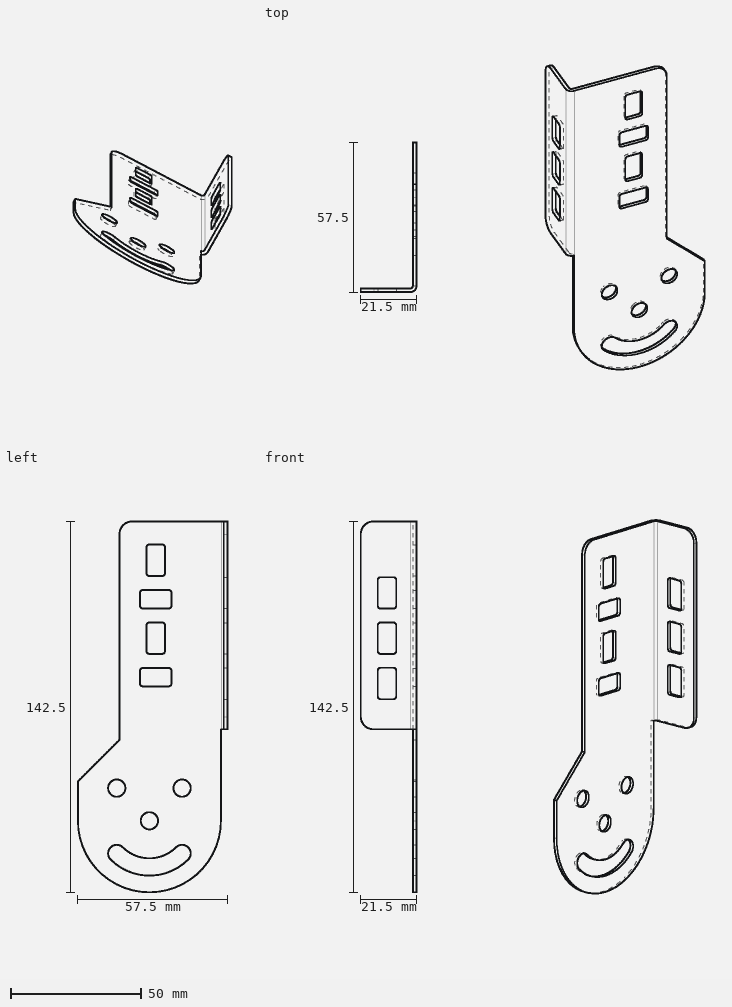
import cadquery as cq
import math

thickness = 1.5
inner_bend_radius = 1.0
outer_bend_radius = inner_bend_radius + thickness

total_height = 142.5
flange_width = 21.5
flange_height = 80.0
corner_radius = 5.0

disc_radius = 27.5
arm_width = 39.0
shoulder_depth = 84.0
plate_front = outer_bend_radius
plate_back = plate_front + 2 * disc_radius
arm_back = plate_front + arm_width
shoulder_top = total_height - shoulder_depth
shoulder_bottom = shoulder_top - (plate_back - arm_back)
disc_y = plate_front + disc_radius
disc_z = disc_radius

window_length = 12.0
window_width = 7.0
window_corner_radius = 1.0
plate_window_edge_offset = 25.1
plate_window_y = plate_front + plate_window_edge_offset
plate_window_top_offset = 15.0
plate_window_pitch = 15.0
plate_window_count = 4
flange_window_x = 10.1
flange_window_middle_offset = 44.9
flange_window_pitch = 17.4

hole_diameter = 6.5
hole_offset = 12.5
slot_radius = hole_offset * math.sqrt(2)


def make_plate():
    """Flat plate in the YZ plane, its outer face at X = flange_width."""
    outline = (
        cq.Workplane("YZ", origin=(flange_width - thickness, 0, 0))
        .moveTo(plate_front, total_height)
        .lineTo(arm_back - corner_radius, total_height)
        .radiusArc((arm_back, total_height - corner_radius), corner_radius)
        .lineTo(arm_back, shoulder_top)
        .lineTo(plate_back, shoulder_bottom)
        .lineTo(plate_back, disc_z)
        .threePointArc((disc_y, 0), (plate_front, disc_z))
        .close()
    )
    return outline.extrude(thickness)


def make_bent_flange():
    """Flange in the XZ plane with the bend that joins it to the plate."""
    bend_x = flange_width - outer_bend_radius
    profile = (
        cq.Workplane("XY", origin=(0, 0, total_height - flange_height))
        .lineTo(bend_x, 0)
        .radiusArc((flange_width, outer_bend_radius), -outer_bend_radius)
        .lineTo(flange_width - thickness, outer_bend_radius)
        .radiusArc((bend_x, thickness), inner_bend_radius)
        .lineTo(0, thickness)
        .close()
    )
    return profile.extrude(flange_height).edges("|Y and <X").fillet(corner_radius)


def window_cutter(x_size, y_size, z_size, center, through_axis):
    """Rounded rectangular prism that cuts a window through the sheet."""
    prism = cq.Workplane("XY").box(x_size, y_size, z_size)
    return prism.edges("|" + through_axis).fillet(window_corner_radius).translate(center)


def cut_plate_windows(body):
    """Column of windows, alternately upright and lying down."""
    for index in range(plate_window_count):
        z = total_height - plate_window_top_offset - index * plate_window_pitch
        upright = index % 2 == 0
        y_size = window_width if upright else window_length
        z_size = window_length if upright else window_width
        center = (flange_width - thickness / 2, plate_window_y, z)
        body = body.cut(window_cutter(2 * thickness, y_size, z_size, center, "X"))
    return body


def cut_flange_windows(body):
    """Three upright windows in the flange."""
    for step in (-1, 0, 1):
        z = total_height - flange_window_middle_offset + step * flange_window_pitch
        center = (flange_window_x, thickness / 2, z)
        body = body.cut(window_cutter(window_width, 2 * thickness, window_length, center, "Y"))
    return body


def disc_plane():
    """Sketch plane on the inner face of the plate, centred on the disc."""
    return cq.Workplane("YZ", origin=(flange_width - thickness, disc_y, disc_z))


def cut_holes(body):
    """Pivot hole and two holes above it."""
    centers = [(0, 0), (-hole_offset, hole_offset), (hole_offset, hole_offset)]
    holes = disc_plane().pushPoints(centers).circle(hole_diameter / 2).extrude(thickness)
    return body.cut(holes)


def cut_arc_slot(body):
    """Quarter-turn slot below the pivot, with round ends."""
    half_width = hole_diameter / 2
    inner_radius = slot_radius - half_width
    outer_radius = slot_radius + half_width
    inner_end = inner_radius / math.sqrt(2)
    outer_end = outer_radius / math.sqrt(2)
    slot = (
        disc_plane()
        .moveTo(-outer_end, -outer_end)
        .threePointArc((0, -outer_radius), (outer_end, -outer_end))
        .radiusArc((inner_end, -inner_end), -half_width)
        .threePointArc((0, -inner_radius), (-inner_end, -inner_end))
        .radiusArc((-outer_end, -outer_end), -half_width)
        .close()
        .extrude(thickness)
    )
    return body.cut(slot)


bracket = make_plate().union(make_bent_flange())
bracket = cut_plate_windows(bracket)
bracket = cut_flange_windows(bracket)
bracket = cut_holes(bracket)
result = cut_arc_slot(bracket)